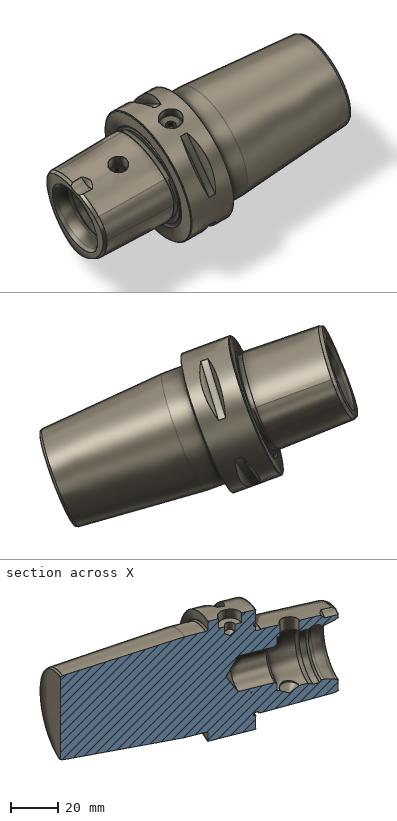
import cadquery as cq
import math


total_length = 128

shank_length = 38.0
shank_radius = 22.0
lobe_height = 1.4
shank_taper = 0.025
lobe_half_angle = 27
lobe_directions = (30, 150, 270)
end_chamfer_length = 1.5
end_chamfer_width = 0.8
curve_points = 12

neck_length = 2.2
neck_inset = 0.3
neck_radius = 22.5
ring_outer_radius = 24.3
lobe_trim_start = 1.0
lobe_trim_end = 1.9

flange_radius = 31.5
flange_length = 22.0
flange_chamfer = 0.4

nose_end = total_length - shank_length
nose_radius = 26.5
nose_cone_start = 32.8
nose_tip_radius = 22.1
nose_tip_chamfer_length = 1.0
nose_tip_chamfer_width = 0.5
nose_root_length = 1.0
nose_root_width = 0.5

slot_y = 11.9
slot_floor_distance = 27.9
slot_floor_width = 3.2
slot_mouth_width = 7.7
slot_angles = (45, 135, 225, 315)
flange_hole_radius = 5.2
flange_hole_floor_z = 26.5
flange_pilot_radius = 2.3
flange_pilot_depth = 3.8

shank_hole_y = -15.5
shank_hole_radius = 4.4
shank_hole_floor_z = -14.1
notch_radius = 5.8
notch_floor_z = 18.0
notch_length = 6.3

bore_mouth_radius = 16.4
bore_chamfer_radius = 15.4
bore_chamfer_depth = 1.7
bore_radius = 14.0
bore_cone_depth = 6.7
groove_radius = 15.1
lip_end = 8.0
groove_start = 8.7
groove_end = 11.8
groove_ramp_end = 14.1
bore_depth = 28.2
thread_mouth_radius = 10.4
thread_radius = 9.2
thread_depth = 46.1

drill_tip_ratio = 0.6
notch_tip_ratio = 1.0


def polygon_wire(y, radius):
    """Closed polygon outline of the given mean radius in the plane at y."""

    def point(angle):
        phase = 3 * (angle - math.radians(lobe_directions[0]))
        reach = radius + lobe_height * math.cos(phase)
        slope = -3 * lobe_height * math.sin(phase)
        x = reach * math.cos(angle) - slope * math.sin(angle)
        z = reach * math.sin(angle) + slope * math.cos(angle)
        return x, z

    plane = cq.Workplane("XZ", origin=(0, y, 0))
    edges = []
    for direction in lobe_directions:
        lobe_start = math.radians(direction - lobe_half_angle)
        lobe_end = math.radians(direction + lobe_half_angle)
        flat_end = lobe_start + math.radians(120)
        for start, stop in ((lobe_start, lobe_end), (lobe_end, flat_end)):
            curve = plane.parametricCurve(point, N=curve_points, start=start, stop=stop, makeWire=False)
            edges.append(curve.val())
    return cq.Wire.assembleEdges(edges)


def polygon_solid(y_start, radius_start, y_end, radius_end):
    """Polygon prism or taper between two planes."""
    wires = [polygon_wire(y_start, radius_start), polygon_wire(y_end, radius_end)]
    return cq.Workplane(cq.Solid.makeLoft(wires, True))


def cylinder(radius, y_start, y_end):
    return cq.Workplane("XZ", origin=(0, y_start, 0)).circle(radius).extrude(y_start - y_end)


def make_shank():
    chamfer_y = end_chamfer_length - shank_length
    chamfer_radius = shank_radius + shank_taper * (chamfer_y + neck_length)
    tip = polygon_solid(-shank_length, chamfer_radius - end_chamfer_width, chamfer_y, chamfer_radius)
    taper = polygon_solid(chamfer_y, chamfer_radius, -neck_length, shank_radius)
    neck_polygon_radius = shank_radius - neck_inset
    neck = polygon_solid(-neck_length, neck_polygon_radius, 0, neck_polygon_radius)
    return taper.union(tip).union(neck)


def make_flange():
    return cylinder(flange_radius, 0, flange_length).faces("<Y").chamfer(flange_chamfer)


def make_neck_groove():
    half_width = (ring_outer_radius - neck_radius) / 2
    profile = (
        cq.Workplane("XY")
        .moveTo(ring_outer_radius, 0)
        .threePointArc((neck_radius + half_width, half_width), (neck_radius, 0))
        .lineTo(neck_radius, -lobe_trim_start)
        .lineTo(ring_outer_radius, -lobe_trim_end)
    )
    return profile.close().revolve(360, (0, 0, 0), (0, 1, 0))


def make_nose():
    profile = (
        cq.Workplane("YZ")
        .moveTo(flange_length, 0)
        .lineTo(flange_length, nose_radius + nose_root_width)
        .lineTo(flange_length + nose_root_length, nose_radius)
        .lineTo(nose_cone_start, nose_radius)
        .lineTo(nose_end - nose_tip_chamfer_length, nose_tip_radius)
        .lineTo(nose_end, nose_tip_radius - nose_tip_chamfer_width)
        .lineTo(nose_end, 0)
    )
    return profile.close().revolve(360, (0, 0, 0), (1, 0, 0))


def make_bore():
    thread_chamfer_end = bore_depth + thread_mouth_radius - thread_radius
    outline = [
        (0, 0),
        (0, bore_mouth_radius),
        (bore_chamfer_depth, bore_chamfer_radius),
        (bore_cone_depth, bore_radius),
        (lip_end, bore_radius),
        (groove_start, groove_radius),
        (groove_end, groove_radius),
        (groove_ramp_end, bore_radius),
        (bore_depth, bore_radius),
        (bore_depth, thread_mouth_radius),
        (thread_chamfer_end, thread_radius),
        (thread_depth, thread_radius),
        (thread_depth + thread_radius * drill_tip_ratio, 0),
    ]
    profile = cq.Workplane("YZ", origin=(0, -shank_length, 0)).polyline(outline)
    return profile.close().revolve(360, (0, 0, 0), (1, 0, 0))


def drill(radius, start, direction, length, tip_ratio=drill_tip_ratio):
    """Cylinder of the given length with a conical point beyond it."""
    start = cq.Vector(*start)
    direction = cq.Vector(*direction)
    body = cq.Solid.makeCylinder(radius, length, start, direction)
    tip = cq.Solid.makeCone(radius, 0, radius * tip_ratio, start + direction * length, direction)
    return cq.Workplane(body).union(cq.Workplane(tip))


def make_slot(angle):
    half_floor = slot_floor_width / 2
    half_mouth = slot_mouth_width / 2
    outline = [
        (slot_floor_distance, slot_y - half_floor),
        (flange_radius, slot_y - half_mouth),
        (flange_radius, slot_y + half_mouth),
        (slot_floor_distance, slot_y + half_floor),
    ]
    slot = cq.Workplane("XY").polyline(outline).close().extrude(flange_radius, both=True)
    return slot.rotate((0, 0, 0), (0, 1, 0), angle)


def make_flange_hole():
    depth = flange_radius - flange_hole_floor_z
    floor_center = (0, slot_y, flange_hole_floor_z)
    counterbore = cq.Workplane(cq.Solid.makeCylinder(flange_hole_radius, depth, cq.Vector(*floor_center)))
    return counterbore.union(drill(flange_pilot_radius, floor_center, (0, 0, -1), flange_pilot_depth))


def make_shank_hole():
    start = (0, shank_hole_y, shank_radius)
    return drill(shank_hole_radius, start, (0, 0, -1), shank_radius - shank_hole_floor_z)


def make_notch():
    start = (0, -shank_length, notch_floor_z + notch_radius)
    return drill(notch_radius, start, (0, 1, 0), notch_length, notch_tip_ratio)


result = make_nose().union(make_flange()).union(make_shank())
result = result.cut(make_neck_groove()).cut(make_bore())

for slot_angle in slot_angles:
    result = result.cut(make_slot(slot_angle))

result = result.cut(make_flange_hole()).cut(make_shank_hole()).cut(make_notch())